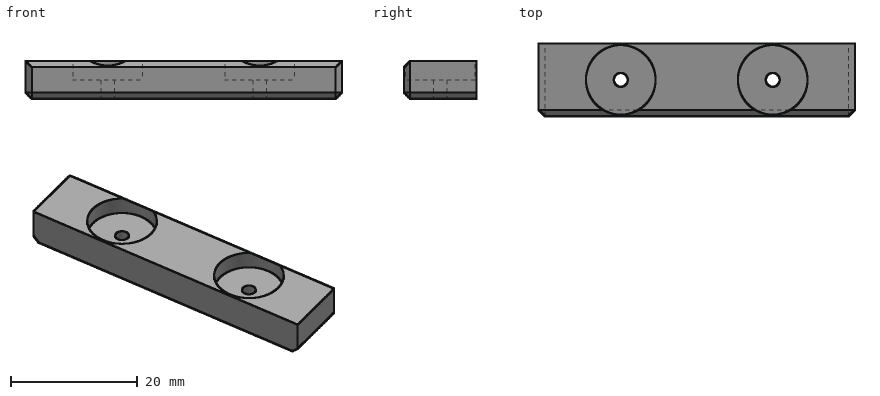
import cadquery as cq

length = 50.0
width = 11.5
height = 6.0
chamfer = 1.0

pocket_diameter = 11.0
pocket_depth = 3.0
hole_diameter = 2.15
hole_spacing = 24.0


def make_bar():
    """Bar chamfered around its front face and along the bottom edges of both ends."""
    bar = cq.Workplane("XY").box(length, width, height)
    edges = bar.faces("<Y").edges().add(bar.faces("<Z").edges("|Y"))
    return edges.chamfer(chamfer)


def cut_pockets(bar):
    """Sink a flat-bottomed pocket and a central through hole at each position."""
    half_spacing = hole_spacing / 2
    return (
        bar.faces(">Z")
        .workplane(origin=(0, 0, height / 2))
        .pushPoints([(-half_spacing, 0), (half_spacing, 0)])
        .cboreHole(hole_diameter, pocket_diameter, pocket_depth)
    )


result = cut_pockets(make_bar())